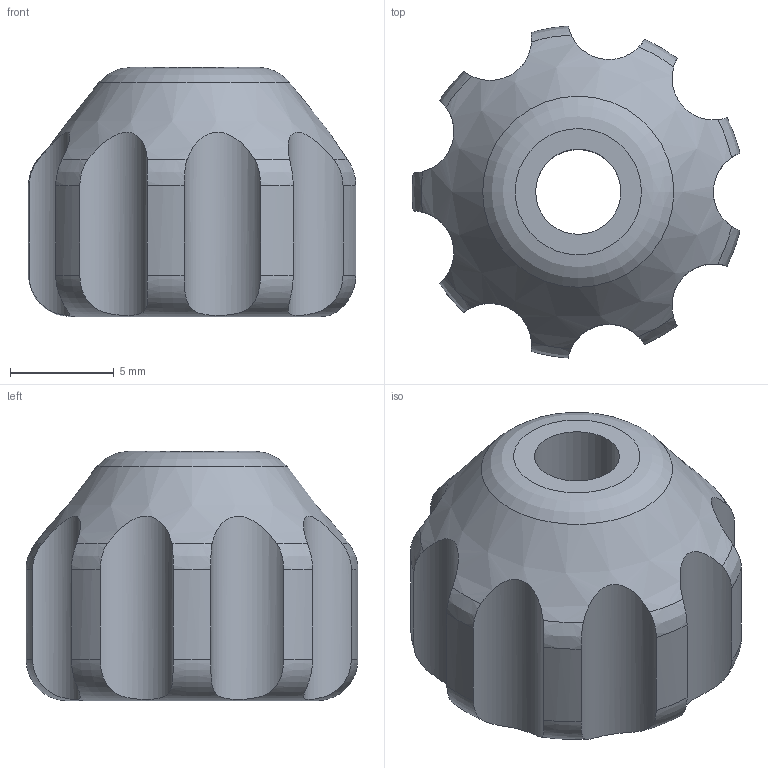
import cadquery as cq

height = 12.0
outer_radius = 8.0
shoulder_height = 7.0
top_radius = 4.0
edge_radius = 2.0
bore_diameter = 4.1

flute_count = 9
flute_radius = 2.0
flute_center_radius = 8.5


def make_body():
    """Cylinder topped by a cone, with every circular edge rounded."""
    half_profile = (
        cq.Workplane("XZ")
        .lineTo(outer_radius, 0)
        .lineTo(outer_radius, shoulder_height)
        .lineTo(top_radius, height)
        .lineTo(0, height)
        .close()
    )
    body = half_profile.revolve(360, (0, 0, 0), (0, 1, 0))
    return body.edges("%CIRCLE").fillet(edge_radius)


def make_flutes():
    """Full-height finger grooves, the first one centred on +X."""
    return (
        cq.Workplane("XY")
        .polarArray(flute_center_radius, 0, 360, flute_count)
        .circle(flute_radius)
        .extrude(height)
    )


def make_bore():
    return cq.Workplane("XY").circle(bore_diameter / 2).extrude(height)


result = make_body().cut(make_flutes()).cut(make_bore())